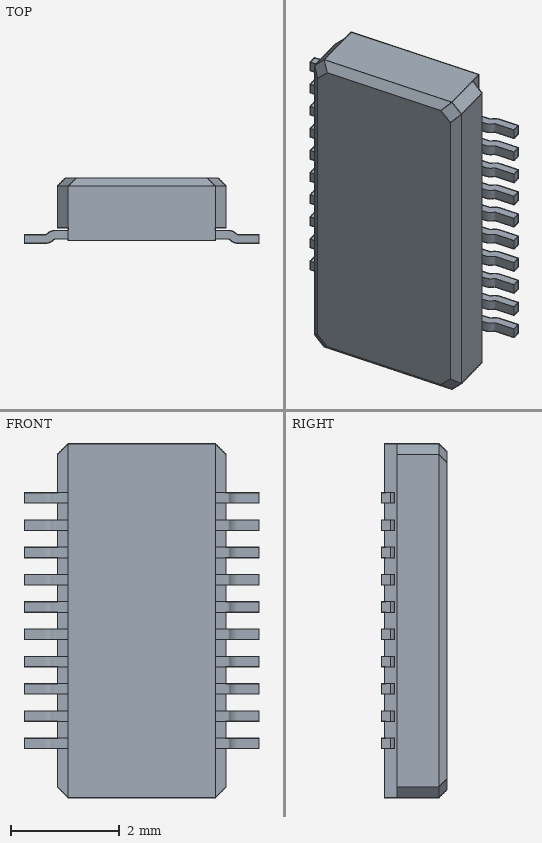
import cadquery as cq
import math

BODY_LENGTH = 6.5
BODY_WIDTH = 3.1
CORNER_LEG = 0.2
BODY_BACK = 1.2
STEP_Y = 0.285
EDGE_BEVEL = 0.15
CORE_FRONT = 0.05
CORE_WIDTH = BODY_WIDTH - 2 * CORNER_LEG

LEAD_COUNT = 10
LEAD_PITCH = 0.5
LEAD_WIDTH = 0.195
LEAD_THICKNESS = 0.16
LEAD_SPAN = 4.3
LEAD_RISE = 0.08
BEND_RUN = 0.18
BEND_START = 1.585
LEAD_EMBED = 0.065


def clipped_rectangle(plane, width, length):
    """Rectangle whose four corners are cut off at 45 degrees."""
    half_width = width / 2
    half_length = length / 2
    return plane.polyline([
        (half_width, half_length - CORNER_LEG),
        (half_width - CORNER_LEG, half_length),
        (CORNER_LEG - half_width, half_length),
        (-half_width, half_length - CORNER_LEG),
        (-half_width, CORNER_LEG - half_length),
        (CORNER_LEG - half_width, -half_length),
        (half_width - CORNER_LEG, -half_length),
        (half_width, CORNER_LEG - half_length),
    ]).close()


def make_upper_body():
    """Wide clipped-corner block with a bevelled rear face."""
    straight_depth = BODY_BACK - EDGE_BEVEL - STEP_Y
    start = cq.Workplane("XZ", origin=(0, STEP_Y, 0))
    straight = clipped_rectangle(start, BODY_WIDTH, BODY_LENGTH).extrude(-straight_depth)

    bevel_start = cq.Workplane("XZ", origin=(0, BODY_BACK - EDGE_BEVEL, 0))
    bevel_base = clipped_rectangle(bevel_start, BODY_WIDTH, BODY_LENGTH)
    bevel = clipped_rectangle(
        bevel_base.workplane(offset=-EDGE_BEVEL),
        BODY_WIDTH - 2 * EDGE_BEVEL,
        BODY_LENGTH - 2 * EDGE_BEVEL,
    ).loft(ruled=True)
    return straight.union(bevel)


def make_core():
    """Narrow full-length block between the two rows of leads."""
    depth = STEP_Y - CORE_FRONT
    core = cq.Workplane("XY").box(CORE_WIDTH, depth, BODY_LENGTH)
    return core.translate((0, CORE_FRONT + depth / 2, 0))


def make_lead():
    """Lead on the +X side, centred on Z = 0, stepping down to its foot through an S-bend of two arcs."""
    bend_angle = 2 * math.atan2(LEAD_RISE, BEND_RUN)
    mid_radius = BEND_RUN / (2 * math.sin(bend_angle))
    small_radius = mid_radius - LEAD_THICKNESS / 2
    large_radius = mid_radius + LEAD_THICKNESS / 2

    root = CORE_WIDTH / 2 - LEAD_EMBED
    tip = LEAD_SPAN / 2
    bend_end = BEND_START + BEND_RUN
    shoulder_center_y = LEAD_RISE + LEAD_THICKNESS / 2 - mid_radius
    foot_center_y = LEAD_THICKNESS / 2 + mid_radius

    def shoulder_point(radius, angle):
        return (BEND_START + radius * math.sin(angle), shoulder_center_y + radius * math.cos(angle))

    def foot_point(radius, angle):
        return (bend_end - radius * math.sin(angle), foot_center_y - radius * math.cos(angle))

    half_angle = bend_angle / 2
    profile = (
        cq.Workplane("XY", origin=(0, 0, -LEAD_WIDTH / 2))
        .moveTo(root, LEAD_RISE)
        .lineTo(BEND_START, LEAD_RISE)
        .threePointArc(shoulder_point(small_radius, half_angle), shoulder_point(small_radius, bend_angle))
        .threePointArc(foot_point(large_radius, half_angle), (bend_end, 0))
        .lineTo(tip, 0)
        .lineTo(tip, LEAD_THICKNESS)
        .lineTo(bend_end, LEAD_THICKNESS)
        .threePointArc(foot_point(small_radius, half_angle), foot_point(small_radius, bend_angle))
        .threePointArc(
            shoulder_point(large_radius, half_angle),
            (BEND_START, LEAD_RISE + LEAD_THICKNESS),
        )
        .lineTo(root, LEAD_RISE + LEAD_THICKNESS)
        .close()
    )
    return profile.extrude(LEAD_WIDTH)


result = make_upper_body().union(make_core())

right_lead = make_lead()
left_lead = right_lead.mirror("YZ")
for index in range(LEAD_COUNT):
    lead_z = (index - (LEAD_COUNT - 1) / 2) * LEAD_PITCH
    for lead in (right_lead, left_lead):
        result = result.union(lead.translate((0, 0, lead_z)))